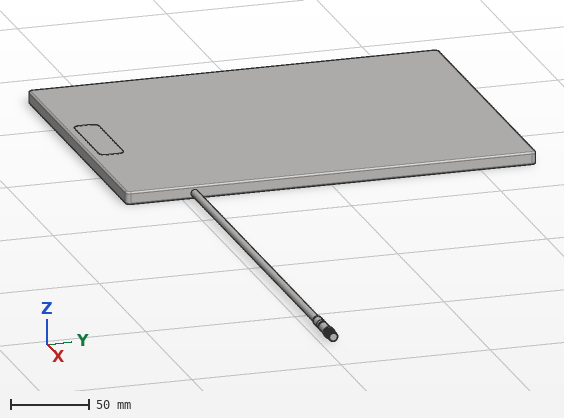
import cadquery as cq

panel_length = 214.0
panel_width = 275.0
panel_height = 8.5
corner_radius = 3.0
edge_round = 1.25

badge_length = 60.0
badge_width = 16.5
badge_corner = 4.0
badge_depth = 0.5
badge_center_x = 107.5
badge_center_y = 14.5

axis_y = 45.5
axis_z = 3.85
cable_diameter = 4.9

fitting_diameter = 6.0
sleeve_start = 479.0
ferrule_start = 487.0
ring_start = 490.5
barrel_start = 492.0
collar_start = 503.0
thread_start = 505.5
connector_end = 514.0

collar_diameter = 7.0
thread_root_diameter = 5.5
thread_pitch = 1.3
groove_width = 0.6
groove_count = 5
tip_chamfer = 0.5


def rod(start, end, diameter):
    """Round bar on the cable axis between two X positions."""
    plane = cq.Workplane("YZ", origin=(start, axis_y, axis_z))
    return plane.circle(diameter / 2).extrude(end - start)


def make_badge():
    center = (badge_center_x, badge_center_y, panel_height - badge_depth)
    plate = cq.Workplane("XY", origin=center).rect(badge_length, badge_width).extrude(badge_depth)
    return plate.edges("|Z").fillet(badge_corner)


def make_panel():
    slab = cq.Workplane("XY").box(panel_length, panel_width, panel_height, centered=False)
    slab = slab.edges("|Z").fillet(corner_radius)
    slab = slab.faces("<Z or >Z").edges().fillet(edge_round)
    return slab.cut(make_badge())


def make_threaded_end():
    """Threaded tip, its thread simplified to evenly spaced ring grooves."""
    tip = rod(thread_start, connector_end, fitting_diameter).faces(">X").chamfer(tip_chamfer)
    for turn in range(groove_count):
        start = thread_start + (turn + 0.5) * thread_pitch
        end = start + groove_width
        groove = rod(start, end, collar_diameter).cut(rod(start, end, thread_root_diameter))
        tip = tip.cut(groove)
    return tip


def make_connector():
    barrel = rod(barrel_start, collar_start, fitting_diameter)
    collar = rod(collar_start, thread_start, collar_diameter)
    return barrel.union(collar).union(make_threaded_end())


panel = make_panel()
badge = make_badge()
cable = rod(panel_length, sleeve_start, cable_diameter)
sleeve = rod(sleeve_start, ferrule_start, fitting_diameter)
ferrule = rod(ferrule_start, ring_start, fitting_diameter)
ring = rod(ring_start, barrel_start, fitting_diameter)
connector = make_connector()

bodies = [panel, badge, cable, sleeve, ferrule, ring, connector]
result = cq.Compound.makeCompound([body.val() for body in bodies])